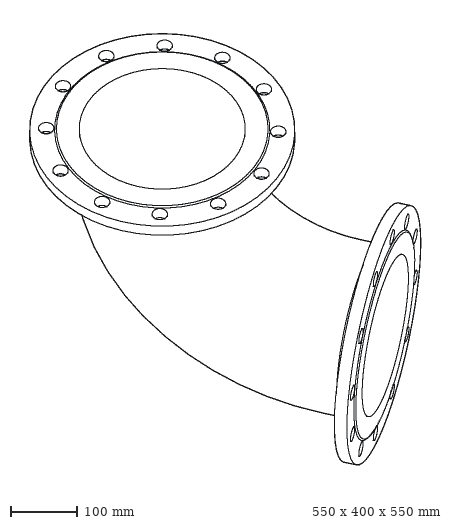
import cadquery as cq

overall_length = 550.0
flange_diameter = 400.0
flange_thickness = 20.0
raised_face_height = 2.0
raised_face_diameter = 319.0
raised_face_base_diameter = 324.5
pipe_diameter = 268.0
bore_diameter = 250.0
neck_diameter = 282.0
neck_length = 15.5
bend_radius = 281.5
bolt_count = 12
bolt_hole_diameter = 23.0
bolt_circle_diameter = 350.0

face_distance = overall_length - flange_diameter / 2
straight_length = face_distance - bend_radius


def flanged_end():
    """Solid end piece, its face on z = 0 and its pipe running down to the bend."""
    flange_front = -raised_face_height
    flange_back = flange_front - flange_thickness
    neck_end = flange_back - neck_length
    body = (
        cq.Workplane("XZ")
        .moveTo(0, 0)
        .lineTo(raised_face_diameter / 2, 0)
        .lineTo(raised_face_base_diameter / 2, flange_front)
        .lineTo(flange_diameter / 2, flange_front)
        .lineTo(flange_diameter / 2, flange_back)
        .lineTo(neck_diameter / 2, flange_back)
        .lineTo(pipe_diameter / 2, neck_end)
        .lineTo(pipe_diameter / 2, -straight_length)
        .lineTo(0, -straight_length)
        .close()
        .revolve(360, (0, 0, 0), (0, 1, 0))
    )
    bolt_holes = (
        cq.Workplane("XY")
        .workplane(offset=flange_back)
        .polarArray(bolt_circle_diameter / 2, 180 / bolt_count, 360, bolt_count)
        .circle(bolt_hole_diameter / 2)
        .extrude(flange_thickness + raised_face_height)
    )
    bore = cq.Workplane("XY").circle(bore_diameter / 2).extrude(-straight_length)
    return body.cut(bolt_holes).cut(bore)


def bend():
    """Quarter-turn pipe from the upright end at the top to the end facing +X."""
    return (
        cq.Workplane("XY")
        .workplane(offset=bend_radius)
        .circle(pipe_diameter / 2)
        .circle(bore_diameter / 2)
        .revolve(90, (bend_radius, 0, 0), (bend_radius, -1, 0))
    )


top_end = flanged_end().translate((0, 0, face_distance))
side_end = flanged_end().rotate((0, 0, 0), (0, 1, 0), 90).translate((face_distance, 0, 0))
result = bend().union(top_end).union(side_end)